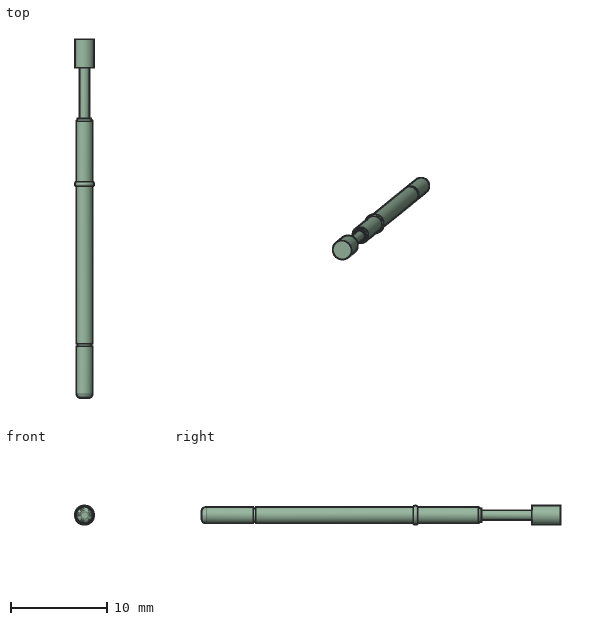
import cadquery as cq

total_length = 37.3

head_diameter = 2.0
head_length = 3.0

plunger_diameter = 1.05

barrel_diameter = 1.7
barrel_length = 29.1
taper_diameter = 1.25
taper_length = 0.35
lip_diameter = 1.45
lip_width = 0.055
tail_radius = 0.5

ring_diameter = head_diameter
ring_width = 0.5
ring_from_mouth = 6.85

groove_radius = 0.15
groove_from_tail = 5.52

tail_y = -total_length / 2
head_y = total_length / 2
mouth_y = tail_y + barrel_length


def rod(diameter, start_y, end_y):
    """Solid cylinder on the Y axis between two stations."""
    return (
        cq.Workplane("XZ", origin=(0, end_y, 0))
        .circle(diameter / 2)
        .extrude(end_y - start_y)
    )


def turn(profile):
    """Revolve a closed XY profile about the Y axis."""
    return profile.revolve(360, (0, 0, 0), (0, 1, 0))


def make_barrel():
    """Tube body with a rounded tail and a mouth that tapers in behind a thin lip."""
    radius = barrel_diameter / 2
    shoulder_y = mouth_y - taper_length
    diagonal = tail_radius * 0.5 ** 0.5
    tail_mid = (radius - tail_radius + diagonal, tail_y + tail_radius - diagonal)
    profile = (
        cq.Workplane("XY")
        .moveTo(0, tail_y)
        .lineTo(radius - tail_radius, tail_y)
        .threePointArc(tail_mid, (radius, tail_y + tail_radius))
        .lineTo(radius, shoulder_y)
        .lineTo(taper_diameter / 2, mouth_y)
        .lineTo(0, mouth_y)
        .close()
    )
    lip = rod(lip_diameter, mouth_y - lip_width, mouth_y)
    return turn(profile).union(lip)


def make_ring():
    """Press ring: a rounded bulge around the barrel."""
    root = barrel_diameter / 2
    center_y = mouth_y - ring_from_mouth
    profile = (
        cq.Workplane("XY")
        .moveTo(0, center_y - ring_width / 2)
        .lineTo(root, center_y - ring_width / 2)
        .threePointArc((ring_diameter / 2, center_y), (root, center_y + ring_width / 2))
        .lineTo(0, center_y + ring_width / 2)
        .close()
    )
    return turn(profile)


def make_groove():
    """Cutter for the half-round groove near the tail."""
    center = (barrel_diameter / 2, tail_y + groove_from_tail)
    profile = cq.Workplane("XY").moveTo(*center).circle(groove_radius)
    return turn(profile)


head = rod(head_diameter, head_y - head_length, head_y)
plunger = rod(plunger_diameter, mouth_y, head_y)
barrel = make_barrel().union(make_ring()).cut(make_groove())

result = barrel.union(plunger).union(head)